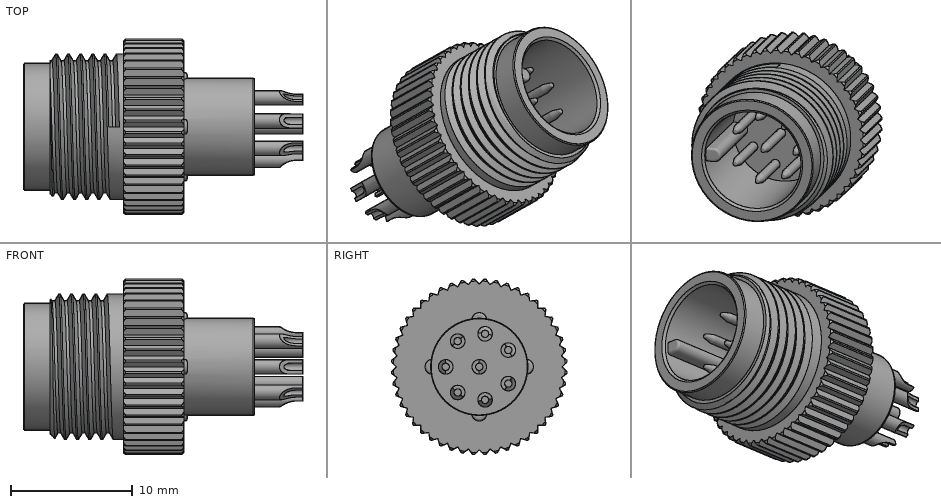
import cadquery as cq
import math


ring_front = 2.18
knurl_front = 8.2
knurl_rear = 13.2
carrier_rear = 19.02
pin_tip = 3.08
pin_rear = 23.0

tube_radius = 5.25
tube_edge_chamfer = 0.1
socket_radius = 4.15
socket_mouth_chamfer = 0.2
socket_floor = knurl_front
floor_thickness = 1.15
shoulder = socket_floor + floor_thickness
spigot_radius = 4.0
spigot_bevel_depth = 0.05
spigot_bevel_length = 0.14
key_front = 0.5
key_half_width = 0.58
key_reach = 2.88
key_edge_fillet = 0.2
tab_count = 4
tab_radius = 0.62
tab_reach = 4.46
tab_length = 0.28
tab_fillet = 0.2

thread_radius = 6.0
thread_end = 7.45
thread_turns = 6
thread_length = 6.0
thread_pitch = thread_length / thread_turns
flank_angle = math.radians(30)
sharp_thread_height = thread_pitch / 2 / math.tan(flank_angle)
thread_depth = sharp_thread_height * 5 / 8
groove_root_width = thread_pitch / 4
groove_overcut = 0.05
ring_front_chamfer = 0.48
knurl_radius = 7.25
knurl_root_radius = 6.83
knurl_teeth = 48
tooth_tip_width = 0.14
knurl_end_chamfer = 0.18

pin_circle_radius = 2.75
pin_angles = [-150, -100, -50, 0, 50, 100, 150]
contact_radius = 0.4
contact_tip_radius = 0.18
contact_tip_fillet = 0.07
contact_taper = 0.9
terminal_radius = 0.6
cup_bore_radius = 0.3
cup_relief_radius = 2.0
cup_flat_length = 0.5
cup_relief_run = math.sqrt(cup_relief_radius**2 - (cup_relief_radius - terminal_radius) ** 2)
cup_length = cup_flat_length + cup_relief_run


def rod(radius, start, end):
    """Cylinder on the X axis."""
    return cq.Workplane("YZ").workplane(offset=start).circle(radius).extrude(end - start)


def revolved(points):
    """Turn a profile of (x, radius) points about the X axis."""
    return cq.Workplane("XY").polyline(points).close().revolve(360, (0, 0), (1, 0))


def at_pin_place(body, angle):
    """Move a body from the X axis to the pin circle; angle 0 is the -Y side, 90 is the +Z side."""
    return body.translate((0, -pin_circle_radius, 0)).rotate((0, 0, 0), (1, 0, 0), -angle)


def make_pin_blank():
    """Pin without its solder cup, pointed at the front and thicker behind the carrier shoulder."""
    blank = revolved([
        (pin_tip, 0),
        (pin_tip, contact_tip_radius),
        (pin_tip + contact_taper, contact_radius),
        (shoulder, contact_radius),
        (shoulder, terminal_radius),
        (pin_rear, terminal_radius),
        (pin_rear, 0),
    ])
    return blank.faces("<X").edges().fillet(contact_tip_fillet)


def make_pin():
    """Pin on the X axis whose solder cup opens toward -Y."""
    arc_end = pin_rear - cup_flat_length
    arc_start = pin_rear - cup_length
    half_run = cup_relief_run / 2
    arc_middle = (
        arc_end - half_run,
        math.sqrt(cup_relief_radius**2 - half_run**2) - cup_relief_radius,
    )
    relief = (
        cq.Workplane("XY")
        .workplane(offset=-terminal_radius)
        .moveTo(pin_rear, 0)
        .lineTo(arc_end, 0)
        .threePointArc(arc_middle, (arc_start, -terminal_radius))
        .lineTo(pin_rear, -terminal_radius)
        .close()
        .extrude(2 * terminal_radius)
    )
    bore = rod(cup_bore_radius, arc_start, pin_rear)
    return make_pin_blank().cut(relief).cut(bore)


def make_key():
    """Round-nosed rib along the socket wall on the +Y side."""
    nose_centre = key_reach + key_half_width
    rib = (
        cq.Workplane("YZ")
        .workplane(offset=key_front)
        .moveTo(tube_radius, -key_half_width)
        .lineTo(nose_centre, -key_half_width)
        .threePointArc((key_reach, 0), (nose_centre, key_half_width))
        .lineTo(tube_radius, key_half_width)
        .close()
        .extrude(socket_floor - key_front)
        .faces("<X")
        .fillet(key_edge_fillet)
    )
    inside_wall = rod((socket_radius + tube_radius) / 2, key_front, socket_floor)
    return rib.intersect(inside_wall)


def make_tab():
    """Round snap tab with a rounded rim, half sunk into the spigot on its +Z side."""
    return (
        rod(tab_radius, knurl_rear, knurl_rear + tab_length)
        .faces(">X")
        .edges()
        .fillet(tab_fillet)
        .translate((0, 0, tab_reach - tab_radius))
    )


def make_carrier():
    """Insulating carrier with holes for the pins."""
    carrier = revolved([
        (socket_floor, 0),
        (socket_floor, socket_radius),
        (socket_mouth_chamfer, socket_radius),
        (0, socket_radius + socket_mouth_chamfer),
        (0, tube_radius - tube_edge_chamfer),
        (tube_edge_chamfer, tube_radius),
        (shoulder, tube_radius),
        (shoulder, spigot_radius),
        (carrier_rear - spigot_bevel_length, spigot_radius),
        (carrier_rear, spigot_radius - spigot_bevel_depth),
        (carrier_rear, 0),
    ])
    carrier = carrier.union(make_key())
    tab = make_tab()
    for index in range(tab_count):
        carrier = carrier.union(tab.rotate((0, 0, 0), (1, 0, 0), index * 360 / tab_count))
    blank = make_pin_blank()
    carrier = carrier.cut(blank)
    for angle in pin_angles:
        carrier = carrier.cut(at_pin_place(blank, angle))
    return carrier


def make_thread_groove():
    """Right-handed helical groove that starts ahead of the ring and ends on the +Z side."""
    root_radius = thread_radius - thread_depth
    outer_radius = thread_radius + groove_overcut
    root_half = groove_root_width / 2
    outer_half = root_half + (outer_radius - root_radius) * math.tan(flank_angle)
    path = cq.Wire.makeHelix(thread_pitch, thread_length, root_radius)
    groove = (
        cq.Workplane("XZ")
        .polyline([
            (root_radius, -root_half),
            (outer_radius, -outer_half),
            (outer_radius, outer_half),
            (root_radius, root_half),
        ])
        .close()
        .sweep(cq.Workplane(obj=path), isFrenet=True)
    )
    along_x = groove.rotate((0, 0, 0), (0, 1, 0), 90).rotate((0, 0, 0), (1, 0, 0), 180)
    return along_x.translate((thread_end - thread_length, 0, 0))


def make_knurl():
    """Grip of flat-topped teeth with V grooves between them and bevelled ends."""
    tooth_angle = 2 * math.pi / knurl_teeth
    tip_half_angle = tooth_tip_width / 2 / knurl_radius
    outline = []
    for index in range(knurl_teeth):
        valley = index * tooth_angle
        tip = valley + tooth_angle / 2
        for radius, angle in [
            (knurl_root_radius, valley),
            (knurl_radius, tip - tip_half_angle),
            (knurl_radius, tip + tip_half_angle),
        ]:
            outline.append((radius * math.cos(angle), radius * math.sin(angle)))
    teeth = (
        cq.Workplane("YZ")
        .workplane(offset=knurl_front)
        .polyline(outline)
        .close()
        .extrude(knurl_rear - knurl_front)
    )
    envelope = rod(knurl_radius, knurl_front, knurl_rear).faces("<X or >X").chamfer(knurl_end_chamfer)
    return teeth.intersect(envelope)


def make_ring():
    """Threaded ring with its knurl, bored to fit the stepped carrier."""
    ring = rod(thread_radius, ring_front, knurl_front).faces("<X").chamfer(ring_front_chamfer)
    ring = ring.cut(make_thread_groove())
    ring = ring.union(make_knurl())
    ring = ring.cut(rod(tube_radius, ring_front, shoulder))
    return ring.cut(rod(spigot_radius, shoulder, knurl_rear))


carrier = make_carrier()
ring = make_ring()

pin = make_pin()
centre_pin = pin.rotate((0, 0, 0), (1, 0, 0), 180)
ring_pins = [at_pin_place(pin, angle) for angle in pin_angles]

result = cq.Compound.makeCompound([
    carrier.val(),
    ring.val(),
    centre_pin.val(),
    *[ring_pin.val() for ring_pin in ring_pins],
])